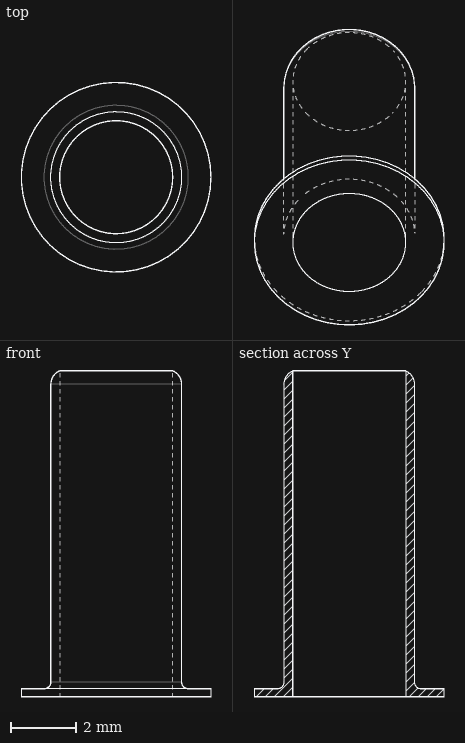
import math

import cadquery as cq

total_height = 9.96
flange_diameter = 5.8
tube_diameter = 4.0
bore_diameter = 3.45

flange_thickness = 0.25
root_fillet_radius = 0.2
rim_radius = 0.45

flange_radius = flange_diameter / 2
tube_radius = tube_diameter / 2
bore_radius = bore_diameter / 2
wall_thickness = tube_radius - bore_radius

rim_center_radius = tube_radius - rim_radius
rim_height = math.sqrt(rim_radius**2 - (rim_radius - wall_thickness) ** 2)
rim_start = total_height - rim_height
rim_mid_angle = math.atan2(rim_height, rim_radius - wall_thickness) / 2
rim_mid = (
    rim_center_radius + rim_radius * math.cos(rim_mid_angle),
    rim_start + rim_radius * math.sin(rim_mid_angle),
)

root_center_radius = tube_radius + root_fillet_radius
root_top = flange_thickness + root_fillet_radius
root_mid_offset = root_fillet_radius * math.sqrt(0.5)
root_mid = (root_center_radius - root_mid_offset, root_top - root_mid_offset)

half_section = (
    cq.Workplane("XZ")
    .moveTo(bore_radius, 0)
    .lineTo(flange_radius, 0)
    .lineTo(flange_radius, flange_thickness)
    .lineTo(root_center_radius, flange_thickness)
    .threePointArc(root_mid, (tube_radius, root_top))
    .lineTo(tube_radius, rim_start)
    .threePointArc(rim_mid, (bore_radius, total_height))
    .close()
)

result = half_section.revolve(360, (0, 0, 0), (0, 1, 0))